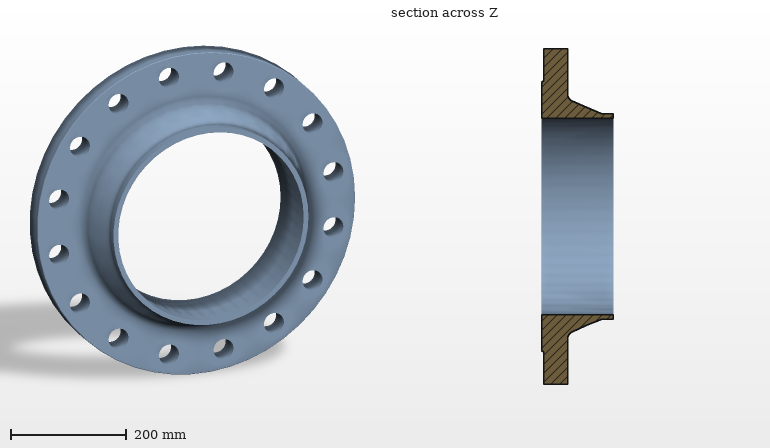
import cadquery as cq
import math


total_length = 125.0
flange_diameter = 580.0
flange_thickness = 46.0
raised_face_diameter = 465.0
raised_face_height = 4.0
raised_face_flare = 2.0
bore_diameter = 338.0
neck_diameter = 355.6
hub_base_diameter = 406.0
neck_length = 20.5
hub_blend_radius = 12.0
rim_chamfer = 1.0
bore_chamfer = 1.0

bolt_count = 16
bolt_hole_diameter = 36.0
bolt_circle_diameter = 510.0

flange_radius = flange_diameter / 2
raised_face_radius = raised_face_diameter / 2
bore_radius = bore_diameter / 2
neck_radius = neck_diameter / 2
hub_base_radius = hub_base_diameter / 2
neck_start = total_length - neck_length
cone_angle = math.atan2(hub_base_radius - neck_radius, neck_start - flange_thickness)

base_tangent = hub_blend_radius * math.tan((math.pi / 2 - cone_angle) / 2)
neck_tangent = hub_blend_radius * math.tan(cone_angle / 2)


def cone_point(distance):
    """Point on the hub cone, measured from its base along the slope."""
    return (
        flange_thickness + distance * math.cos(cone_angle),
        hub_base_radius - distance * math.sin(cone_angle),
    )


def blend_point(center, angle):
    """Point of a blend arc that lies at an angle from the arc's center."""
    return (
        center[0] + hub_blend_radius * math.cos(angle),
        center[1] + hub_blend_radius * math.sin(angle),
    )


def turned_body():
    """Half section in (X, radius), revolved about X."""
    cone_length = math.hypot(neck_start - flange_thickness, hub_base_radius - neck_radius)
    base_center = (flange_thickness + hub_blend_radius, hub_base_radius + base_tangent)
    neck_center = (neck_start + neck_tangent, neck_radius + hub_blend_radius)
    base_middle_angle = math.pi + (math.pi / 2 - cone_angle) / 2
    neck_middle_angle = -math.pi / 2 - cone_angle / 2

    section = (
        cq.Workplane("XY")
        .moveTo(bore_chamfer, bore_radius)
        .lineTo(0, bore_radius + bore_chamfer)
        .lineTo(0, raised_face_radius)
        .lineTo(raised_face_height, raised_face_radius + raised_face_flare)
        .lineTo(raised_face_height, flange_radius - rim_chamfer)
        .lineTo(raised_face_height + rim_chamfer, flange_radius)
        .lineTo(flange_thickness - rim_chamfer, flange_radius)
        .lineTo(flange_thickness, flange_radius - rim_chamfer)
        .lineTo(flange_thickness, base_center[1])
        .threePointArc(blend_point(base_center, base_middle_angle), cone_point(base_tangent))
        .lineTo(*cone_point(cone_length - neck_tangent))
        .threePointArc(
            blend_point(neck_center, neck_middle_angle),
            (neck_start + neck_tangent, neck_radius),
        )
        .lineTo(total_length, neck_radius)
        .lineTo(total_length, bore_radius)
        .close()
    )
    return section.revolve(360, (0, 0, 0), (1, 0, 0))


def bolt_holes():
    """Through holes that straddle the Y and Z axes."""
    half_pitch = 180 / bolt_count
    return (
        cq.Workplane("YZ")
        .polarArray(bolt_circle_diameter / 2, half_pitch, 360, bolt_count)
        .circle(bolt_hole_diameter / 2)
        .extrude(flange_thickness)
    )


result = turned_body().cut(bolt_holes())